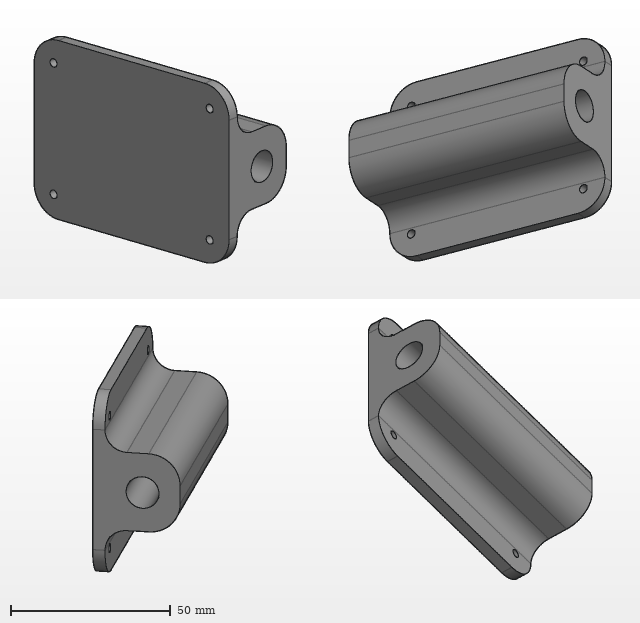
import cadquery as cq

length = 80.0
plate_height = 60.0
plate_thickness = 4.0
corner_radius = 10.0

depth = 28.0
rail_height = 26.0
rail_radius = 10.0
bore_diameter = 10.5
bore_offset = 16.0

root_radius = (plate_height - rail_height) / 2 - corner_radius

screw_diameter = 2.8
screw_inset = 8.0


def make_plate():
    plate = cq.Workplane("XY").box(
        length, plate_thickness, plate_height, centered=(True, False, True)
    )
    return plate.edges("|Y").fillet(corner_radius)


def make_rail():
    half_height = rail_height / 2
    root_half_height = half_height + root_radius
    root_end = plate_thickness + root_radius
    half_flat = half_height - rail_radius
    round_start = depth - rail_radius
    profile = (
        cq.Workplane("YZ", origin=(-length / 2, 0, 0))
        .moveTo(0, -root_half_height)
        .lineTo(plate_thickness, -root_half_height)
        .radiusArc((root_end, -half_height), root_radius)
        .lineTo(round_start, -half_height)
        .radiusArc((depth, -half_flat), -rail_radius)
        .lineTo(depth, half_flat)
        .radiusArc((round_start, half_height), -rail_radius)
        .lineTo(root_end, half_height)
        .radiusArc((plate_thickness, root_half_height), root_radius)
        .lineTo(0, root_half_height)
        .close()
    )
    return profile.extrude(length)


def make_bore():
    return (
        cq.Workplane("YZ", origin=(-length / 2, 0, 0))
        .center(bore_offset, 0)
        .circle(bore_diameter / 2)
        .extrude(length)
    )


def make_screw_holes():
    return (
        cq.Workplane("XZ")
        .rarray(length - 2 * screw_inset, plate_height - 2 * screw_inset, 2, 2)
        .circle(screw_diameter / 2)
        .extrude(-plate_thickness)
    )


result = make_plate().union(make_rail()).cut(make_bore()).cut(make_screw_holes())